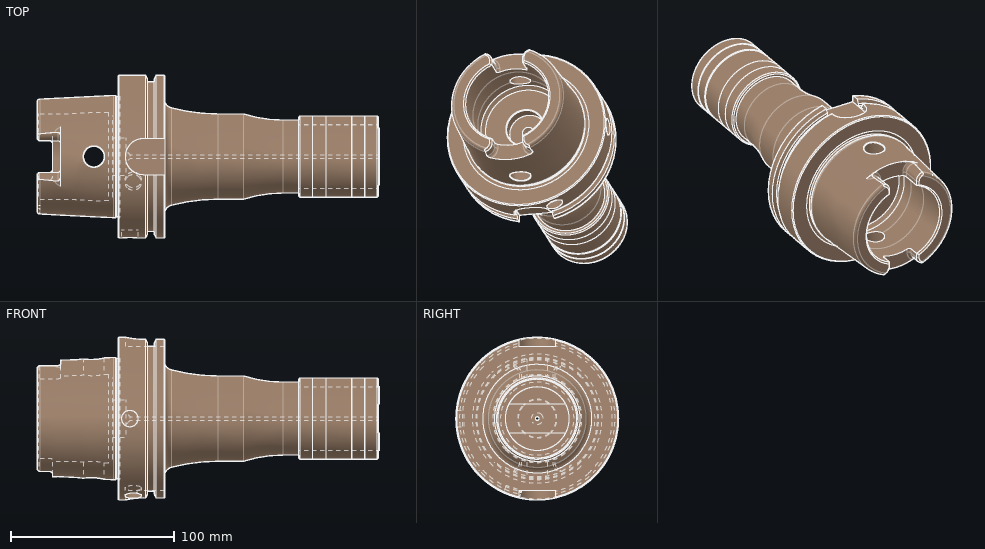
import cadquery as cq
import math

LENGTH = 210.0

TAPER_END_X = 46.8
TAPER_RADIUS = 37.5
TAPER_SLOPE = 0.05
NOSE_ROUND = 1.9
COLLAR_END_X = 48.0
NECK_X = 48.7
NECK_RADIUS = 37.0

FLANGE_START_X = 49.5
FLANGE_END_X = 78.5
FLANGE_RADIUS = 50.0
FLANGE_CHAMFER = 0.6
RELIEF_RADIUS = 39.7
RELIEF_DEPTH = 1.3
GROOVE_START_X = 66.5
GROOVE_END_X = 73.0
GROOVE_RADIUS = 46.0
GROOVE_BEVEL_WIDTH = 1.3
GROOVE_BEVEL_DEPTH = 2.3

BODY_RADIUS = 26.2
FLARE_RADIUS = 111.2
FLARE_START_X = 82.3
FLARE_END_X = 110.8
FLARE_FOOT_RADIUS = 33.4
WAIST_START_X = 126.5
WAIST_END_X = 150.7
WAIST_RADIUS = 22.5

SPIGOT_RADIUS = 19.5
SPIGOT_SLOT_WIDTH = 17.6

RING_FACES = [160.4, 169.0, 177.2, 192.7, 201.0, 209.3]
RING_RADIUS = 25.0
STACK_CHAMFER = 0.8
CHAMFERED_RING = 3
RING_CHAMFER = 0.5

BORE_RADIUS = 26.2
BORE_CHAMFER = 1.0
BORE_CONE_START_X = 19.7
BORE_CONE_END_X = 35.7
BORE_INNER_RADIUS = 27.0
BORE_FLOOR_RADIUS = 24.8
BORE_FLOOR_X = 46.2

COOLANT_SEAT_RADIUS = 11.5
COOLANT_SEAT_CHAMFER = 0.5
COOLANT_SEAT_DEPTH = 8.5
COOLANT_CONE_RADIUS = 3.5
COOLANT_RADIUS = 1.0

UPPER_SLOT_DEPTH = 14.5
LOWER_SLOT_DEPTH = 9.5
SLOT_HALF_WIDTH = 9.7
SLOT_SHOULDER_ROUND = 5.2
SLOT_SHOULDER_Z = 32.5
SLOT_SHOULDER_SLOPE = 0.46
SLOT_FLOOR_ROUND = 1.7
SLOT_MOUTH_CHAMFER = 1.3

CROSS_HOLE_X = 34.8
CROSS_HOLE_RADIUS = 6.3
CROSS_HOLE_CHAMFER = 0.31

KEYWAY_HALF_WIDTH = 11.1
KEYWAY_START_X = 54.2
KEYWAY_FLOOR_Z = 44.0

RIM_HOLE_RADIUS = 5.0
RIM_HOLE_DEPTH = 5.0
CHIP_HOLE_X = 56.9
CHIP_HOLE_ANGLE = 0.0
BALANCE_HOLE_X = 59.0
BALANCE_HOLE_ANGLE = 71.5


def turn(profile):
    """Revolve a closed (x, radius) profile about the tool axis."""
    return profile.close().revolve(360, (0, 0, 0), (1, 0, 0))


def make_taper():
    nose_radius = TAPER_RADIUS - TAPER_SLOPE * TAPER_END_X
    taper = turn(
        cq.Workplane("XY")
        .lineTo(0, nose_radius)
        .lineTo(TAPER_END_X, TAPER_RADIUS)
        .lineTo(COLLAR_END_X, TAPER_RADIUS)
        .lineTo(NECK_X, NECK_RADIUS)
        .lineTo(FLANGE_START_X + RELIEF_DEPTH, NECK_RADIUS)
        .lineTo(FLANGE_START_X + RELIEF_DEPTH, 0)
    )
    return taper.faces("<X").edges().fillet(NOSE_ROUND)


def make_flange():
    """Flange disc with a relief in its front face and a V-groove with a flat bottom."""
    bevel_radius = FLANGE_RADIUS - GROOVE_BEVEL_DEPTH
    return turn(
        cq.Workplane("XY")
        .moveTo(FLANGE_START_X + RELIEF_DEPTH, 0)
        .lineTo(FLANGE_START_X + RELIEF_DEPTH, NECK_RADIUS)
        .lineTo(FLANGE_START_X, RELIEF_RADIUS)
        .lineTo(FLANGE_START_X, FLANGE_RADIUS - FLANGE_CHAMFER)
        .lineTo(FLANGE_START_X + FLANGE_CHAMFER, FLANGE_RADIUS)
        .lineTo(GROOVE_START_X, FLANGE_RADIUS)
        .lineTo(GROOVE_START_X + GROOVE_BEVEL_WIDTH, bevel_radius)
        .lineTo(GROOVE_START_X + GROOVE_BEVEL_WIDTH, GROOVE_RADIUS)
        .lineTo(GROOVE_END_X - GROOVE_BEVEL_WIDTH, GROOVE_RADIUS)
        .lineTo(GROOVE_END_X - GROOVE_BEVEL_WIDTH, bevel_radius)
        .lineTo(GROOVE_END_X, FLANGE_RADIUS)
        .lineTo(FLANGE_END_X - FLANGE_CHAMFER, FLANGE_RADIUS)
        .lineTo(FLANGE_END_X, FLANGE_RADIUS - FLANGE_CHAMFER)
        .lineTo(FLANGE_END_X, 0)
    )


def make_body():
    """Arbor body: a foot fillet and a flare down to a cylinder, a waist and the spigot."""
    flare_angle = math.asin((FLARE_END_X - FLARE_START_X) / FLARE_RADIUS)
    flare_start_radius = BODY_RADIUS + FLARE_RADIUS * (1 - math.cos(flare_angle))
    flare_middle = (
        FLARE_END_X - FLARE_RADIUS * math.sin(flare_angle / 2),
        BODY_RADIUS + FLARE_RADIUS * (1 - math.cos(flare_angle / 2)),
    )

    waist_drop = BODY_RADIUS - WAIST_RADIUS
    waist_run = WAIST_END_X - WAIST_START_X
    waist_arc_radius = (waist_run**2 + waist_drop**2) / (2 * waist_drop)
    half_waist_angle = math.asin(waist_run / waist_arc_radius) / 2
    waist_middle = (
        WAIST_END_X - waist_arc_radius * math.sin(half_waist_angle),
        WAIST_RADIUS + waist_arc_radius * (1 - math.cos(half_waist_angle)),
    )
    stack_start_x = RING_FACES[0]
    return turn(
        cq.Workplane("XY")
        .moveTo(FLANGE_END_X, 0)
        .lineTo(LENGTH, 0)
        .lineTo(LENGTH, SPIGOT_RADIUS)
        .lineTo(stack_start_x, SPIGOT_RADIUS)
        .lineTo(stack_start_x, WAIST_RADIUS)
        .lineTo(WAIST_END_X, WAIST_RADIUS)
        .threePointArc(waist_middle, (WAIST_START_X, BODY_RADIUS))
        .lineTo(FLARE_END_X, BODY_RADIUS)
        .threePointArc(flare_middle, (FLARE_START_X, flare_start_radius))
        .tangentArcPoint((FLANGE_END_X, FLARE_FOOT_RADIUS), relative=False)
    )


def make_bore():
    """Space inside the taper and the coolant passage along the whole axis."""
    floor_bevel = BORE_INNER_RADIUS - BORE_FLOOR_RADIUS
    seat_rim_radius = COOLANT_SEAT_RADIUS + COOLANT_SEAT_CHAMFER
    seat_floor_x = BORE_FLOOR_X + COOLANT_SEAT_DEPTH
    cone_end_x = seat_floor_x + COOLANT_CONE_RADIUS - COOLANT_RADIUS
    return turn(
        cq.Workplane("XY")
        .lineTo(0, BORE_RADIUS + BORE_CHAMFER)
        .lineTo(BORE_CHAMFER, BORE_RADIUS)
        .lineTo(BORE_CONE_START_X, BORE_RADIUS)
        .lineTo(BORE_CONE_END_X, BORE_INNER_RADIUS)
        .lineTo(BORE_FLOOR_X - floor_bevel, BORE_INNER_RADIUS)
        .lineTo(BORE_FLOOR_X, BORE_FLOOR_RADIUS)
        .lineTo(BORE_FLOOR_X, seat_rim_radius)
        .lineTo(BORE_FLOOR_X + COOLANT_SEAT_CHAMFER, COOLANT_SEAT_RADIUS)
        .lineTo(seat_floor_x, COOLANT_SEAT_RADIUS)
        .lineTo(seat_floor_x, COOLANT_CONE_RADIUS)
        .lineTo(cone_end_x, COOLANT_RADIUS)
        .lineTo(LENGTH, COOLANT_RADIUS)
        .lineTo(LENGTH, 0)
    )


def drive_slot_outline(start_x):
    """Slot section on the +Z side, at start_x, with rounded shoulders that fall away outwards."""
    outer = FLANGE_RADIUS
    shoulder_y = SLOT_HALF_WIDTH + SLOT_SHOULDER_ROUND
    wall_top_z = SLOT_SHOULDER_Z - SLOT_SHOULDER_ROUND
    outer_z = SLOT_SHOULDER_Z - SLOT_SHOULDER_SLOPE * (outer - shoulder_y)
    arc_offset = SLOT_SHOULDER_ROUND * (1 - math.sqrt(0.5))
    arc_y = SLOT_HALF_WIDTH + arc_offset
    arc_z = SLOT_SHOULDER_Z - arc_offset
    return (
        cq.Workplane("YZ", origin=(start_x, 0, 0))
        .lineTo(SLOT_HALF_WIDTH, 0)
        .lineTo(SLOT_HALF_WIDTH, wall_top_z)
        .threePointArc((arc_y, arc_z), (shoulder_y, SLOT_SHOULDER_Z))
        .lineTo(outer, outer_z)
        .lineTo(outer, outer)
        .lineTo(-outer, outer)
        .lineTo(-outer, outer_z)
        .lineTo(-shoulder_y, SLOT_SHOULDER_Z)
        .threePointArc((-arc_y, arc_z), (-SLOT_HALF_WIDTH, wall_top_z))
        .lineTo(-SLOT_HALF_WIDTH, 0)
        .close()
    )


def make_drive_slot(depth):
    """Cutter for a drive slot with rounded floor corners and a flared mouth at the nose face."""
    slot = drive_slot_outline(0).extrude(depth)
    corner_z = (SLOT_SHOULDER_Z - SLOT_SHOULDER_ROUND) / 2
    for side in (-1, 1):
        corner = cq.selectors.NearestToPointSelector((depth, side * SLOT_HALF_WIDTH, corner_z))
        slot = slot.edges(corner).fillet(SLOT_FLOOR_ROUND)
    mouth = drive_slot_outline(SLOT_MOUTH_CHAMFER).extrude(-SLOT_MOUTH_CHAMFER, taper=-45)
    return slot.union(mouth)


def make_keyway():
    """Cutter on the +Z side: a round-ended keyway that is open towards the arbor body."""
    round_centre_x = KEYWAY_START_X + KEYWAY_HALF_WIDTH
    return (
        cq.Workplane("XY")
        .workplane(offset=KEYWAY_FLOOR_Z)
        .moveTo(round_centre_x, KEYWAY_HALF_WIDTH)
        .threePointArc((KEYWAY_START_X, 0), (round_centre_x, -KEYWAY_HALF_WIDTH))
        .lineTo(FLANGE_END_X, -KEYWAY_HALF_WIDTH)
        .lineTo(FLANGE_END_X, KEYWAY_HALF_WIDTH)
        .close()
        .extrude(FLANGE_RADIUS - KEYWAY_FLOOR_Z)
    )


def make_rim_hole(x, angle):
    """Cutter for a blind radial hole in the flange rim."""
    return (
        cq.Workplane("XZ", origin=(x, 0, 0))
        .workplane(offset=FLANGE_RADIUS - RIM_HOLE_DEPTH)
        .circle(RIM_HOLE_RADIUS)
        .extrude(2 * RIM_HOLE_DEPTH)
        .rotate((0, 0, 0), (1, 0, 0), angle)
    )


def opposite(shape):
    """Turn a shape half a turn about the tool axis."""
    return shape.rotate((0, 0, 0), (1, 0, 0), 180)


def make_slotted_taper():
    slotted = make_taper()
    slotted = slotted.cut(make_drive_slot(UPPER_SLOT_DEPTH))
    return slotted.cut(opposite(make_drive_slot(LOWER_SLOT_DEPTH)))


def drill_cross_hole(taper):
    """Drill through both sides of the taper along Z and break the two outer rims."""
    drill = (
        cq.Workplane("XY", origin=(CROSS_HOLE_X, 0, 0))
        .circle(CROSS_HOLE_RADIUS)
        .extrude(TAPER_RADIUS, both=True)
    )
    drilled = taper.cut(drill)
    for side in (-1, 1):
        rim = cq.selectors.NearestToPointSelector((CROSS_HOLE_X, 0, side * TAPER_RADIUS))
        drilled = drilled.edges(rim).chamfer(CROSS_HOLE_CHAMFER)
    return drilled


def make_holder():
    spigot_slot_depth = LENGTH - RING_FACES[-1]
    spigot_slot = cq.Workplane("XY", origin=(LENGTH - spigot_slot_depth / 2, 0, 0)).box(
        spigot_slot_depth, 2 * SPIGOT_RADIUS, SPIGOT_SLOT_WIDTH
    )
    taper = drill_cross_hole(make_slotted_taper())
    holder = taper.union(make_flange()).union(make_body())
    cutters = [
        make_bore(),
        make_keyway(),
        opposite(make_keyway()),
        make_rim_hole(CHIP_HOLE_X, CHIP_HOLE_ANGLE),
        make_rim_hole(BALANCE_HOLE_X, BALANCE_HOLE_ANGLE),
        spigot_slot,
    ]
    for cutter in cutters:
        holder = holder.cut(cutter)
    return holder


def make_ring(start_x, end_x, start_chamfer, end_chamfer):
    """Spacer ring on the spigot; a chamfer of 0 leaves that outer edge sharp."""
    ring = (
        cq.Workplane("YZ", origin=(start_x, 0, 0))
        .circle(RING_RADIUS)
        .extrude(end_x - start_x)
    )
    if start_chamfer:
        ring = ring.faces("<X").edges().chamfer(start_chamfer)
    if end_chamfer:
        ring = ring.faces(">X").edges().chamfer(end_chamfer)
    return ring.faces("<X").workplane().circle(SPIGOT_RADIUS).cutThruAll()


def make_rings():
    rings = []
    last = len(RING_FACES) - 2
    for index in range(last + 1):
        start_chamfer = 0
        end_chamfer = 0
        if index == 0:
            start_chamfer = STACK_CHAMFER
        if index == last:
            end_chamfer = STACK_CHAMFER
        if index == CHAMFERED_RING:
            start_chamfer = RING_CHAMFER
            end_chamfer = RING_CHAMFER
        rings.append(make_ring(RING_FACES[index], RING_FACES[index + 1], start_chamfer, end_chamfer))
    return rings


holder = make_holder()
spacer_rings = make_rings()

result = cq.Compound.makeCompound([holder.val(), *[ring.val() for ring in spacer_rings]])